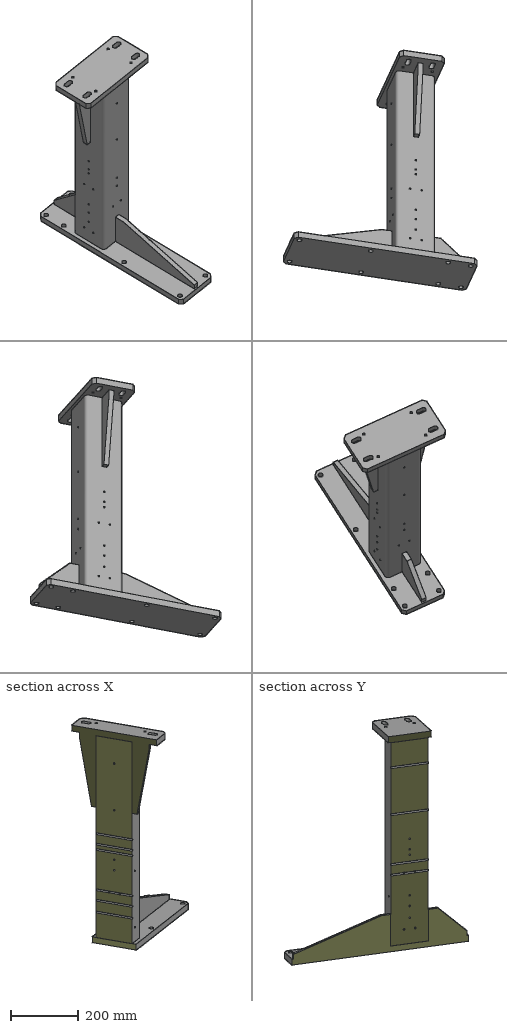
import cadquery as cq

TOTAL_HEIGHT = 684.5
PLATE_THICKNESS = 20.0
PLATE_CHAMFER = 10.0
GUSSET_THICKNESS = 15.0
GUSSET_LIP = 15.0
UNDERSIDE_OF_HEAD = TOTAL_HEIGHT - PLATE_THICKNESS

BASE_LEFT = -187.5
BASE_LENGTH = 562.5
BASE_WIDTH = 144.5
BASE_RIGHT = BASE_LEFT + BASE_LENGTH
BASE_HOLE_DIAMETER = 14.0
BASE_HOLE_XS = (-170.0, -100.0, 137.5, 357.0)
BASE_HOLE_Y = 57.5

BASE_GUSSET_HEIGHT = 100.0
BASE_GUSSET_INSET = 5.0
BASE_GUSSET_FLAT_REACH = 90.5

COLUMN_SIDE = 120.0
COLUMN_CORNER_RADIUS = 11.5
HALF_COLUMN = COLUMN_SIDE / 2

HEAD_LENGTH_X = 137.5
HEAD_LENGTH_Y = 280.0
SLOT_X = 37.0
SLOT_Y = 109.5
SLOT_LENGTH = 30.0
SLOT_WIDTH = 14.5
SLOT_ANGLE = 90
HEAD_HOLE_X = 45.0
HEAD_HOLE_Y = 80.0
HEAD_HOLE_DIAMETER = 7.0

HEAD_GUSSET_HEIGHT = 230.0
HEAD_GUSSET_TOP_REACH = 115.0
HEAD_GUSSET_BOTTOM_REACH = 75.0

CROSS_HOLE_DIAMETER = 4.0
GROUP_SECOND_DROP = 33.5
GROUP_PAIR_DROP = 106.0
GROUP_PAIR_HALF_SPACING = 18.0
GROUP_TOPS_ALONG_Y = (351.0, 172.0)
SINGLES_ALONG_Y = (300.5, 100.5)
GROUP_TOPS_ALONG_X = (277.0,)
SINGLES_ALONG_X = (584.5, 435.0)


def chamfered_plate(length_x, length_y, bottom):
    """Flat plate centred on the Z axis with its four upright corners chamfered."""
    plate = cq.Workplane("XY").workplane(offset=bottom).rect(length_x, length_y)
    return plate.extrude(PLATE_THICKNESS).edges("|Z").chamfer(PLATE_CHAMFER)


def mirrored_points(x, y):
    """Four points, one in each quadrant."""
    return [(sign_x * x, sign_y * y) for sign_x in (-1, 1) for sign_y in (-1, 1)]


def gusset(plane, outline):
    """Gusset plate extruded equally to both sides of the given plane."""
    return cq.Workplane(plane).polyline(outline).close().extrude(GUSSET_THICKNESS / 2, both=True)


def base_gusset(side, plate_end):
    """Gusset between the column and one end of the base plate; side is -1 or 1 along X."""
    outer_x = plate_end - side * BASE_GUSSET_INSET
    top = PLATE_THICKNESS + BASE_GUSSET_HEIGHT
    return gusset("XZ", [
        (side * HALF_COLUMN, PLATE_THICKNESS),
        (outer_x, PLATE_THICKNESS),
        (outer_x, PLATE_THICKNESS + GUSSET_LIP),
        (side * BASE_GUSSET_FLAT_REACH, top),
        (side * HALF_COLUMN, top),
    ])


def head_gusset(side):
    """Gusset between the column and the head plate; side is -1 or 1 along Y."""
    bottom = UNDERSIDE_OF_HEAD - HEAD_GUSSET_HEIGHT
    return gusset("YZ", [
        (side * HALF_COLUMN, UNDERSIDE_OF_HEAD),
        (side * HEAD_GUSSET_TOP_REACH, UNDERSIDE_OF_HEAD),
        (side * HEAD_GUSSET_TOP_REACH, UNDERSIDE_OF_HEAD - GUSSET_LIP),
        (side * HEAD_GUSSET_BOTTOM_REACH, bottom),
        (side * HALF_COLUMN, bottom),
    ])


def make_base():
    """Base plate with its bolt holes and its two gussets."""
    plate = chamfered_plate(BASE_LENGTH, BASE_WIDTH, 0)
    plate = plate.translate((BASE_LEFT + BASE_LENGTH / 2, 0, 0))
    hole_points = [(x, y) for x in BASE_HOLE_XS for y in (-BASE_HOLE_Y, BASE_HOLE_Y)]
    holes = cq.Workplane("XY").pushPoints(hole_points).circle(BASE_HOLE_DIAMETER / 2)
    plate = plate.cut(holes.extrude(PLATE_THICKNESS))
    return plate.union(base_gusset(-1, BASE_LEFT)).union(base_gusset(1, BASE_RIGHT))


def make_head():
    """Head plate with its slots, small holes and two gussets."""
    plate = chamfered_plate(HEAD_LENGTH_X, HEAD_LENGTH_Y, UNDERSIDE_OF_HEAD)
    underside = cq.Workplane("XY").workplane(offset=UNDERSIDE_OF_HEAD)
    slots = underside.pushPoints(mirrored_points(SLOT_X, SLOT_Y)).slot2D(SLOT_LENGTH, SLOT_WIDTH, SLOT_ANGLE)
    plate = plate.cut(slots.extrude(PLATE_THICKNESS))
    holes = underside.pushPoints(mirrored_points(HEAD_HOLE_X, HEAD_HOLE_Y)).circle(HEAD_HOLE_DIAMETER / 2)
    plate = plate.cut(holes.extrude(PLATE_THICKNESS))
    return plate.union(head_gusset(-1)).union(head_gusset(1))


def cross_holes(plane, group_tops, singles):
    """Cutters for the small holes that cross the column, normal to the given plane."""
    points = [(0, z) for z in singles]
    for top in group_tops:
        pair_z = top - GROUP_PAIR_DROP
        points += [
            (0, top),
            (0, top - GROUP_SECOND_DROP),
            (-GROUP_PAIR_HALF_SPACING, pair_z),
            (GROUP_PAIR_HALF_SPACING, pair_z),
        ]
    circles = cq.Workplane(plane).pushPoints(points).circle(CROSS_HOLE_DIAMETER / 2)
    return circles.extrude(COLUMN_SIDE, both=True)


def make_column():
    """Square column with rounded corners, standing between the two plates."""
    column = cq.Workplane("XY").workplane(offset=PLATE_THICKNESS).rect(COLUMN_SIDE, COLUMN_SIDE)
    column = column.extrude(UNDERSIDE_OF_HEAD - PLATE_THICKNESS)
    column = column.edges("|Z").fillet(COLUMN_CORNER_RADIUS)
    column = column.cut(cross_holes("XZ", GROUP_TOPS_ALONG_Y, SINGLES_ALONG_Y))
    return column.cut(cross_holes("YZ", GROUP_TOPS_ALONG_X, SINGLES_ALONG_X))


base = make_base()
column = make_column()
head = make_head()

result = cq.Compound.makeCompound([body.solids().val() for body in (base, column, head)])